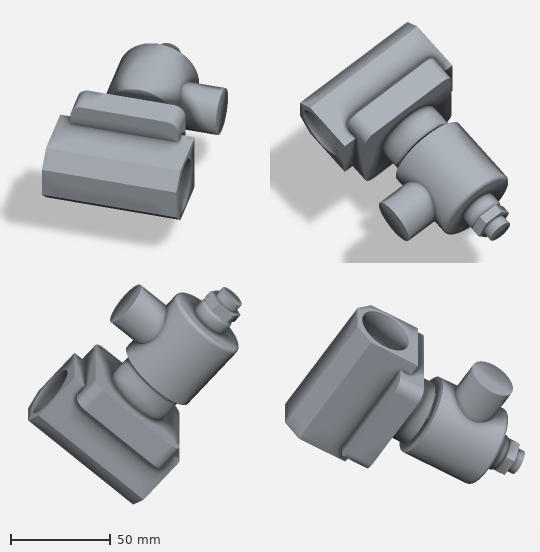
import cadquery as cq
import math


block_length = 70.0
block_height = 32.0
block_front = -16.4
block_back = 19.1
block_chamfer = 8.0

port_diameter = 27.3
port_depth = 14.0

flange_size = 56.0
flange_corner_radius = 6.0
flange_thickness = 14.0
flange_back = 26.95
flange_front = flange_back - flange_thickness
bonnet_diameter = 34.0
bonnet_back = 40.3

bonnet_gap = 0.25

hex_across_flats = 25.4
hex_length = 1.85
coil_diameter = 42.0
coil_length = 39.25
coil_fillet = 2.0
cap_diameter = 19.2
cap_length = 7.9
cap_fillet = 2.5
nut_across_corners = 20.0
nut_length = 4.95
stem_diameter = 12.9
stem_length = 5.0

collar_start = bonnet_back + bonnet_gap
coil_start = collar_start + hex_length
cap_start = coil_start + coil_length
nut_start = cap_start + cap_length
stem_start = nut_start + nut_length

conduit_diameter = 24.0
conduit_end = 37.8
conduit_centre = 61.4


def plane_across_y(y):
    """Work plane whose normal is +Y and whose local X is the global X."""
    return cq.Workplane(cq.Plane(origin=(0, y, 0), xDir=(1, 0, 0), normal=(0, 1, 0)))


def cylinder_along_y(start, length, diameter):
    return plane_across_y(start).circle(diameter / 2).extrude(length)


def hexagon_along_y(start, length, across_corners):
    """Hexagonal prism with two corners pointing along X."""
    return plane_across_y(start).polygon(6, across_corners).extrude(length)


def make_valve_body():
    block_depth = block_back - block_front
    block_middle = (block_back + block_front) / 2
    block = (
        cq.Workplane("XY")
        .box(block_length, block_depth, block_height)
        .translate((0, block_middle, 0))
        .faces("<Y")
        .edges("|X")
        .chamfer(block_chamfer)
    )
    flange = (
        plane_across_y(flange_front)
        .rect(flange_size, flange_size)
        .extrude(flange_thickness)
        .edges("|Y")
        .fillet(flange_corner_radius)
    )
    bonnet = cylinder_along_y(flange_back, bonnet_back - flange_back, bonnet_diameter)
    body = block.union(flange).union(bonnet)

    for end in (-1, 1):
        port = (
            cq.Workplane("YZ", origin=(end * block_length / 2, 0, 0))
            .circle(port_diameter / 2)
            .extrude(-end * port_depth)
        )
        body = body.cut(port)
    return body


def make_solenoid():
    hex_across_corners = hex_across_flats / math.cos(math.radians(30))
    collar = hexagon_along_y(collar_start, hex_length, hex_across_corners)
    coil = cylinder_along_y(coil_start, coil_length, coil_diameter).faces(">Y").edges().fillet(coil_fillet)
    conduit = (
        cq.Workplane("YZ")
        .center(conduit_centre, 0)
        .circle(conduit_diameter / 2)
        .extrude(conduit_end)
    )
    cap = cylinder_along_y(cap_start, cap_length, cap_diameter).faces(">Y").edges().fillet(cap_fillet)
    nut = hexagon_along_y(nut_start, nut_length, nut_across_corners)
    stem = cylinder_along_y(stem_start, stem_length, stem_diameter)
    return collar.union(coil).union(conduit).union(cap).union(nut).union(stem)


valve_body = make_valve_body()
solenoid = make_solenoid()

result = cq.Compound.makeCompound([valve_body.val(), solenoid.val()])